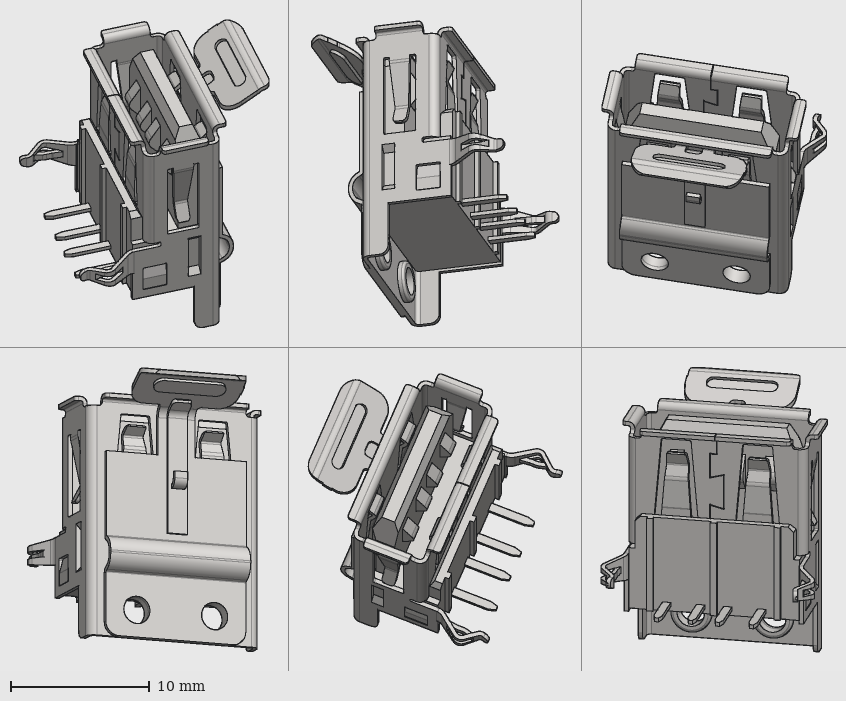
import cadquery as cq
import math


OVERLAP = 0.05

T = 0.32
MOUTH_X, MOUTH_Y = 12.56, 5.1
OUT_X = MOUTH_X / 2 + T
OUT_Y = MOUTH_Y / 2 + T
CORNER_R = 0.63
FRONT_WALL_Z = 8.8
CORNER_TOP_Z = 16.9
LIP_Z = 17.7
LIP_REACH_Y, LIP_REACH_X = 0.75, 0.6
LIP_R = 0.25
LIP_BEND = 0.35
LIP_HALF_X = 5.55
LIP_HALF_Y = 1.75
NOTCH_R = 0.25
SIDE_FRONT_Y = -3.87
SIDE_BOTTOM_Z = 3.97
RELIEF_Z = 8.4
RELIEF_Y = -1.9
WING_FRONT_Y = 0.84
WING_R = 0.66

SEAM_GAP = 0.05
SEAM_POINTS = [(0, 16.1), (-0.5, 16.1), (-0.5, 14.28), (0.5, 14.55), (0.5, 11.95), (-0.5, 12.2)]

HOLE_X, HOLE_Z = 3.0, 2.0
HOLE_D = 2.0
COLLAR_D = 3.0
COLLAR_H = 0.5
COLLAR_ROUND = 0.2

FINGER_X = 3.0
WINDOW_BOTTOM_Z = 10.9
WINDOW_HALF_BOTTOM = 1.63
WINDOW_HALF_TOP = 1.1
FRONT_WINDOW_TOP_Z = 17.0
REAR_WINDOW_TOP_Z = 16.4
WINDOW_R = 0.15
FINGER_HALF_ROOT = 1.13
FINGER_HALF_TIP = 0.72
FINGER_KNEE_Z = 11.75
FINGER_BEND_Z = 13.95
FINGER_CREST_Z = 14.95
FINGER_BEND_RADII = [1.0, 0.6, 0.3]
FINGER_TIP_R = 0.2
FRONT_TIP_Z, REAR_TIP_Z = 15.95, 15.6
FINGER_LEAN = 0.08
FINGER_SINK = 0.53
FRONT_TIP_OUT = 0.0
REAR_TIP_OUT = 0.35

SIDE_WINDOW = (-1.22, 1.17, 9.4, 15.4)
SLOT_WINDOW = (0.36, 1.3, 5.04, 8.6)
SLOT_DEPTH = 0.45
SLOT_SLOPE = 0.5
OPENING_R = 0.1
LATCH_WINDOW = (-3.07, -1.27, 4.7, 6.7)
LATCH_RAMP_Z = 5.64
LATCH_OUT = OUT_X - OVERLAP
SIDE_FINGER_ROOT_Z = 15.35
SIDE_FINGER_CREST_Z = 11.6
SIDE_FINGER_TIP_Z = 10.2
SIDE_FINGER_SINK = 0.65
SIDE_FINGER_HALF_ROOT, SIDE_FINGER_HALF_TIP = 0.8, 0.5
SIDE_FINGER_TIP_R = 0.4
SIDE_FINGER_TIP_OUT = 0.1
SIDE_FINGER_BEND_RADII = [1.0, 0.5]

BASE_Z = 4.18
FLOOR_Z = FRONT_WALL_Z
APRON_Y = -3.76
APRON_BACK_Y = -3.16
APRON_TOP_Z = 11.26
APRON_HALF = 5.85
APRON_CHAMFER = 0.4
APRON_SLOPE = 0.5
RIB_X = 4.69
RIB_WIDTH = 0.47
RIB_Y = -4.07
TONGUE_HALF = 5.53
TONGUE_Y0, TONGUE_Y1 = -0.07, 1.84
TONGUE_TOP_Z = 17.3
TONGUE_FRONT_BEVEL, TONGUE_REAR_BEVEL, TONGUE_SIDE_BEVEL = 0.8, 1.2, 2.1
TONGUE_TOP_HALF = 4.45
TONGUE_TOP_Y0, TONGUE_TOP_Y1 = 0.37, 1.37
TONGUE_CORNER = 0.45

CONTACT_X = (-3.5, -1.0, 1.0, 3.5)
CONTACT_WIDTH = 1.0
CONTACT_CREST = (-0.92, 13.85)
CONTACT_TOP_Z, CONTACT_BOTTOM_Z = 15.2, 12.6
CONTACT_UPPER_BEND = (-0.75, 14.25)
CONTACT_LOWER_BEND = (-0.7, 13.3)
PIN_WIDTH, PIN_TIP_WIDTH = 0.62, 0.3
PIN_Z0, PIN_Z1 = 4.54, 4.84
PIN_END_Y, PIN_TAPER = -7.18, 0.56

LEG_MID_Z = 7.4
LEG_HALF_ROOT, LEG_HALF_TIP = 1.0, 0.4
LEG_END_Y = -7.97
LEG_TIP_X = -6.9
LEG_BEND_Y = -4.1
LEG_ELBOW = (-7.83, -5.96)
LEG_KNEE = (-6.71, -7.28)
LEG_BEND_RADII = [1.0, 0.5, 0.4]
LEG_BOW_X = -6.9
LEG_BOW_START_X, LEG_BOW_END_X = -6.82, -7.13
LEG_BOW_R = 1.0
LEG_BOW_Y0, LEG_BOW_Y1 = -6.1, -5.5
LEG_SLOT_HALF = 0.25
LEG_SLOT = (-6.89, -4.78, LEG_MID_Z - LEG_SLOT_HALF, LEG_MID_Z + LEG_SLOT_HALF)

PLATE_HALF = 5.4
PLATE_Y = OUT_Y + T / 2
PLATE_R = 1.0
STEM_Y = 3.19
BULGE_Y = 4.02
BULGE_Z = (4.75, 5.2, 6.7, 7.15)
TILT_BEND_R = 1.0
PLATE_BEND_RADII = [0.2, 1.1, 1.1, 0.2, TILT_BEND_R, 0.5]
WIDE_TOP_Z = 13.5
NECK_HALF = 1.42
TILT_Z = 16.8
PEAK_Y = 6.77
TILT = math.radians(30)
CURL = math.radians(15)
TAB_END_Y = 7.62
TAB_HALF = 4.09
ABOVE_TAB = 20.0
BEHIND_PLATE = 5.0
TAB_INNER_Y = 3.97
TAB_R = 1.25
NECK_R = 0.28
NUB_REACH, NUB_Y0, NUB_Y1 = 0.07, 5.4, 6.1
BEAD_DEPTH = 0.25
BEAD_HALF = 0.75
BEAD_WALL = 0.15
BEAD_R = 0.35
BEAD_BEND_R = TILT_BEND_R - BEAD_DEPTH
DIMPLE_BOTTOM_Z = TILT_Z - 1.0
BEAD_BOTTOM_Z = 7.75
BEAD_END_Y = 4.65
DIMPLE_END_Y = 4.4
TAB_SLOT_Y = 5.8
TAB_SLOT_LENGTH, TAB_SLOT_WIDTH = 5.5, 1.25
TAB_SLOT_WALL = 0.12

HOOK_WIDTH = 1.0
HOOK_Y, HOOK_Z, HOOK_TOP_Z = 4.13, 11.2, 12.2
HOOK_BEND_R = 0.5


def block(x0, x1, y0, y1, z0, z1):
    return cq.Workplane("XY").box(x1 - x0, y1 - y0, z1 - z0, centered=False).translate((x0, y0, z0))


def both_sides(body):
    return body.union(body.mirror("YZ"))


def heading_of(start, end):
    """Unit vector from one point of a path to the next."""
    length = math.dist(start, end)
    return (end[0] - start[0]) / length, (end[1] - start[1]) / length


def bent_strip(plane, path, radii, width, thickness=T):
    """Sheet strip along a bent centre line, extruded evenly to both sides of the plane.

    radii holds one mid-plane bend radius for each inner point of the path."""

    def side(offset):
        """Start, end and line/arc moves of the path shifted sideways."""
        moves = []
        for i in range(len(path)):
            px, py = path[i]
            ux, uy = heading_of(path[max(i, 1) - 1], path[max(i, 1)])
            if i in (0, len(path) - 1):
                moves.append([(px - uy * offset, py + ux * offset)])
                continue
            vx, vy = heading_of(path[i], path[i + 1])
            turn = math.atan2(ux * vy - uy * vx, ux * vx + uy * vy)
            radius = math.copysign(radii[i - 1], turn)
            setback = abs(radius * math.tan(turn / 2))
            cx = px - ux * setback - uy * radius
            cy = py - uy * setback + ux * radius
            arc = []
            for part in (0, 0.5, 1):
                heading = math.atan2(uy, ux) + turn * part
                arc.append((cx + math.sin(heading) * (radius - offset),
                            cy - math.cos(heading) * (radius - offset)))
            moves.append(arc)
        return moves

    outline = cq.Workplane(plane).moveTo(*side(thickness / 2)[0][0])
    backward = [move[::-1] for move in side(-thickness / 2)[::-1]]
    for move in side(thickness / 2)[1:] + backward:
        outline = outline.lineTo(*move[0])
        if len(move) == 3:
            outline = outline.threePointArc(move[1], move[2])
    return outline.close().extrude(width / 2, both=True)


def lip(plane, outer_face, wall, reach, width):
    middle = wall - T / 2
    top = LIP_Z - T / 2
    path = [(middle, CORNER_TOP_Z), (middle, top), (wall + reach, top)]
    strip = bent_strip(plane, path, [LIP_BEND], width)
    return strip.faces(outer_face).edges("|Z").fillet(LIP_R)


def make_shell():
    outer = cq.Workplane("XY").rect(2 * OUT_X, 2 * OUT_Y).extrude(LIP_Z - T / 2 - LIP_BEND)
    outer = outer.edges("|Z").fillet(CORNER_R)
    inner = cq.Workplane("XY").rect(MOUTH_X, MOUTH_Y).extrude(LIP_Z)
    inner = inner.edges("|Z").fillet(CORNER_R - T)
    tube = outer.cut(inner)

    tube = tube.cut(block(-OUT_X, OUT_X, -OUT_Y, RELIEF_Y, 0, FRONT_WALL_Z))
    below = (cq.Workplane("YZ").moveTo(-OUT_Y, 0).lineTo(WING_FRONT_Y + WING_R, 0)
             .radiusArc((WING_FRONT_Y, WING_R), WING_R)
             .lineTo(WING_FRONT_Y, SIDE_BOTTOM_Z).lineTo(-OUT_Y, SIDE_BOTTOM_Z).close()
             .extrude(OUT_X, both=True))
    tube = tube.cut(below)
    cheek = block(-OUT_X, -OUT_X + T, SIDE_FRONT_Y, RELIEF_Y, SIDE_BOTTOM_Z, RELIEF_Z)
    slot_r = (FRONT_WALL_Z - RELIEF_Z) / 2
    slot_end = (cq.Workplane("YZ").center(RELIEF_Y, RELIEF_Z + slot_r).circle(slot_r)
                .extrude(OUT_X, both=True))
    tube = tube.union(both_sides(cheek)).cut(slot_end)

    notch = block(LIP_HALF_X, 2 * OUT_X, LIP_HALF_Y, 2 * OUT_Y, CORNER_TOP_Z, LIP_Z)
    notch = notch.edges("<Z and (<X or <Y)").fillet(NOTCH_R)
    for half in (notch, notch.mirror("XZ")):
        tube = tube.cut(both_sides(half))
    rear_lip = lip("YZ", ">Y", OUT_Y, LIP_REACH_Y, 2 * LIP_HALF_X)
    side_lip = lip("XZ", ">X", OUT_X, LIP_REACH_X, 2 * LIP_HALF_Y)
    return tube.union(rear_lip).union(rear_lip.mirror("XZ")).union(both_sides(side_lip))


def finger_windows(sign, top_z):
    """Cutters for the two tapered openings in the front (-1) or rear (+1) wall."""
    window = (cq.Workplane("XZ").moveTo(-WINDOW_HALF_BOTTOM, WINDOW_BOTTOM_Z)
              .lineTo(WINDOW_HALF_BOTTOM, WINDOW_BOTTOM_Z).lineTo(WINDOW_HALF_TOP, top_z)
              .lineTo(-WINDOW_HALF_TOP, top_z).close().extrude(T, both=True)
              .edges("|Y").fillet(WINDOW_R))
    return both_sides(window.translate((FINGER_X, sign * (OUT_Y - T / 2), 0)))


def fingers(sign, tip_out, tip_z):
    wall = OUT_Y - T / 2
    root_z = WINDOW_BOTTOM_Z - T
    path = [(sign * wall, root_z), (sign * wall, FINGER_KNEE_Z),
            (sign * (wall - FINGER_LEAN), FINGER_BEND_Z),
            (sign * (wall - FINGER_SINK), FINGER_CREST_Z), (sign * (wall + tip_out), tip_z)]
    strip = bent_strip("YZ", path, FINGER_BEND_RADII, 2 * FINGER_HALF_ROOT)
    taper = (cq.Workplane("XZ").moveTo(-FINGER_HALF_ROOT, root_z).lineTo(FINGER_HALF_ROOT, root_z)
             .lineTo(FINGER_HALF_TIP, tip_z).lineTo(-FINGER_HALF_TIP, tip_z)
             .close().extrude(2 * OUT_Y, both=True).edges("|Y and >Z").fillet(FINGER_TIP_R))
    return both_sides(strip.intersect(taper).translate((FINGER_X, 0, 0)))


def side_fingers():
    wall = OUT_X - T / 2
    path = [(-wall, SIDE_FINGER_ROOT_Z + T), (-wall, SIDE_FINGER_ROOT_Z - T),
            (-wall + SIDE_FINGER_SINK, SIDE_FINGER_CREST_Z), (-wall - SIDE_FINGER_TIP_OUT, SIDE_FINGER_TIP_Z)]
    strip = bent_strip("XZ", path, SIDE_FINGER_BEND_RADII, 2 * SIDE_FINGER_HALF_ROOT)
    taper = (cq.Workplane("YZ").moveTo(-SIDE_FINGER_HALF_ROOT, SIDE_FINGER_ROOT_Z + T)
             .lineTo(-SIDE_FINGER_HALF_TIP, SIDE_FINGER_CREST_Z)
             .lineTo(-SIDE_FINGER_HALF_TIP, SIDE_FINGER_TIP_Z)
             .lineTo(SIDE_FINGER_HALF_TIP, SIDE_FINGER_TIP_Z)
             .lineTo(SIDE_FINGER_HALF_TIP, SIDE_FINGER_CREST_Z)
             .lineTo(SIDE_FINGER_HALF_ROOT, SIDE_FINGER_ROOT_Z + T).close().extrude(2 * OUT_X, both=True)
             .edges("|X and <Z").fillet(SIDE_FINGER_TIP_R))
    return both_sides(strip.intersect(taper))


def side_opening(window, depth):
    y0, y1, z0, z1 = window
    cutter = block(-OUT_X - T, -OUT_X + depth, y0, y1, z0, z1)
    return both_sides(cutter.edges("|X").fillet(OPENING_R))


def side_slot():
    """Shallow side recess with sloped upper and lower ends."""
    y0, y1, z0, z1 = SLOT_WINDOW
    inner_x = OUT_X - SLOT_DEPTH
    cutter = (cq.Workplane("XZ").moveTo(OUT_X, z0).lineTo(OUT_X, z1)
              .lineTo(inner_x, z1 - SLOT_SLOPE).lineTo(inner_x, z0 + SLOT_SLOPE).close()
              .extrude(y1 - y0).translate((0, y1, 0)))
    return both_sides(cutter)


def seam():
    """Narrow dovetailed slit where the two ends of the shell sheet meet."""
    points = [(0, LIP_Z), *SEAM_POINTS, (SEAM_POINTS[-1][0], FRONT_WALL_Z)]
    slit = cq.Workplane("XY")
    for (x0, z0), (x1, z1) in zip(points, points[1:]):
        length = math.dist((x0, z0), (x1, z1)) + SEAM_GAP
        angle = math.degrees(math.atan2(z1 - z0, x1 - x0))
        piece = cq.Workplane("XZ").rect(length, SEAM_GAP).extrude(OUT_Y)
        piece = piece.rotate((0, 0, 0), (0, 1, 0), -angle)
        slit = slit.add(piece.translate(((x0 + x1) / 2, -MOUTH_Y / 2 + OVERLAP, (z0 + z1) / 2)))
    return slit.combine()


def rear_collars():
    collar = (cq.Workplane("XZ").circle(COLLAR_D / 2).extrude(COLLAR_H)
              .faces("<Y").edges().fillet(COLLAR_ROUND))
    return both_sides(collar.translate((HOLE_X, OUT_Y - T, HOLE_Z)))


def rear_holes():
    hole = cq.Workplane("XZ").circle(HOLE_D / 2).extrude(COLLAR_H + T, both=True)
    return both_sides(hole.translate((HOLE_X, OUT_Y, HOLE_Z)))


def make_housing():
    body = block(-MOUTH_X / 2, MOUTH_X / 2, APRON_Y, MOUTH_Y / 2, BASE_Z, FLOOR_Z)
    apron = (cq.Workplane("YZ").moveTo(APRON_Y, FLOOR_Z).lineTo(-OUT_Y, FLOOR_Z)
             .lineTo(-OUT_Y, APRON_TOP_Z - APRON_SLOPE).lineTo(APRON_BACK_Y, APRON_TOP_Z)
             .lineTo(APRON_Y, APRON_TOP_Z).close().extrude(APRON_HALF, both=True)
             .edges("|Y and >Z").chamfer(APRON_CHAMFER))
    body = body.union(apron)
    for x in (-RIB_X, 0, RIB_X):
        body = body.union(block(x - RIB_WIDTH / 2, x + RIB_WIDTH / 2, RIB_Y, APRON_Y,
                                BASE_Z, APRON_TOP_Z))

    y0, y1, z0, z1 = LATCH_WINDOW
    latch = (cq.Workplane("XZ").moveTo(MOUTH_X / 2, z0).lineTo(LATCH_OUT, z0)
             .lineTo(LATCH_OUT, LATCH_RAMP_Z).lineTo(MOUTH_X / 2, z1).close()
             .extrude(y1 - y0).translate((0, y1, 0)))
    return body.union(both_sides(latch)).union(make_tongue())


def make_tongue():
    bar = block(-TONGUE_HALF, TONGUE_HALF, TONGUE_Y0, TONGUE_Y1, FLOOR_Z, TONGUE_TOP_Z)
    bar = bar.edges("|Z and >Y").chamfer(TONGUE_CORNER)
    side_bevels = (cq.Workplane("XZ").moveTo(-TONGUE_HALF, FLOOR_Z)
                   .lineTo(-TONGUE_HALF, TONGUE_TOP_Z - TONGUE_SIDE_BEVEL)
                   .lineTo(-TONGUE_TOP_HALF, TONGUE_TOP_Z).lineTo(TONGUE_TOP_HALF, TONGUE_TOP_Z)
                   .lineTo(TONGUE_HALF, TONGUE_TOP_Z - TONGUE_SIDE_BEVEL)
                   .lineTo(TONGUE_HALF, FLOOR_Z).close().extrude(MOUTH_Y, both=True))
    face_bevels = (cq.Workplane("YZ").moveTo(TONGUE_Y0, FLOOR_Z)
                   .lineTo(TONGUE_Y0, TONGUE_TOP_Z - TONGUE_FRONT_BEVEL)
                   .lineTo(TONGUE_TOP_Y0, TONGUE_TOP_Z).lineTo(TONGUE_TOP_Y1, TONGUE_TOP_Z)
                   .lineTo(TONGUE_Y1, TONGUE_TOP_Z - TONGUE_REAR_BEVEL)
                   .lineTo(TONGUE_Y1, FLOOR_Z).close().extrude(MOUTH_X, both=True))
    return bar.intersect(side_bevels).intersect(face_bevels)


def make_contact(x):
    bump = (cq.Workplane("YZ").moveTo(TONGUE_Y0, CONTACT_TOP_Z).lineTo(*CONTACT_UPPER_BEND)
            .threePointArc(CONTACT_CREST, CONTACT_LOWER_BEND)
            .lineTo(TONGUE_Y0, CONTACT_BOTTOM_Z).close().extrude(CONTACT_WIDTH / 2, both=True))
    half, half_tip = PIN_WIDTH / 2, PIN_TIP_WIDTH / 2
    pin = (cq.Workplane("XY").moveTo(-half, APRON_Y).lineTo(-half, PIN_END_Y + PIN_TAPER)
           .lineTo(-half_tip, PIN_END_Y).lineTo(half_tip, PIN_END_Y)
           .lineTo(half, PIN_END_Y + PIN_TAPER).lineTo(half, APRON_Y).close()
           .extrude(PIN_Z1 - PIN_Z0).translate((0, 0, PIN_Z0)))
    return bump.union(pin).translate((x, 0, 0))


def make_legs():
    wall = OUT_X - T / 2
    path = [(-wall, SIDE_FRONT_Y + T), (-wall, LEG_BEND_Y), LEG_ELBOW, LEG_KNEE, (LEG_TIP_X, LEG_END_Y)]
    leg = bent_strip("XY", path, LEG_BEND_RADII, 2 * LEG_HALF_ROOT)
    taper = (cq.Workplane("YZ").moveTo(SIDE_FRONT_Y + T, -LEG_HALF_ROOT)
             .lineTo(SIDE_FRONT_Y, -LEG_HALF_ROOT)
             .lineTo(LEG_END_Y + LEG_HALF_TIP, -LEG_HALF_TIP)
             .threePointArc((LEG_END_Y, 0), (LEG_END_Y + LEG_HALF_TIP, LEG_HALF_TIP))
             .lineTo(SIDE_FRONT_Y, LEG_HALF_ROOT).lineTo(SIDE_FRONT_Y + T, LEG_HALF_ROOT)
             .close().extrude(2 * OUT_X, both=True))
    leg = leg.intersect(taper).translate((0, 0, LEG_MID_Z))
    y0, y1, z0, z1 = LEG_SLOT
    leg = leg.cut(block(-2 * OUT_X, 0, y0, y1, z0, z1))
    bow = [(LEG_BOW_START_X, y1 + OVERLAP), (LEG_BOW_X, LEG_BOW_Y1), (LEG_BOW_X, LEG_BOW_Y0),
           (LEG_BOW_END_X, y0 - OVERLAP)]
    strip = bent_strip("XY", bow, [LEG_BOW_R, LEG_BOW_R], z1 - z0).translate((0, 0, LEG_MID_Z))
    return both_sides(leg.union(strip))


def plate_path():
    peak_z = TILT_Z + (PEAK_Y - STEM_Y) * math.tan(TILT)
    end_z = peak_z - (TAB_END_Y - PEAK_Y) * math.tan(CURL)
    z0, z1, z2, z3 = BULGE_Z
    return [(PLATE_Y, 0), (PLATE_Y, z0), (BULGE_Y, z1), (BULGE_Y, z2), (STEM_Y, z3),
            (STEM_Y, TILT_Z), (PEAK_Y, peak_z), (TAB_END_Y, end_z)]


def tilted_plane():
    """Frame on the tab mid-plane: local X along X, normal pointing up out of the tab."""
    z = TILT_Z + (TAB_SLOT_Y - STEM_Y) * math.tan(TILT)
    return cq.Plane(origin=(0, TAB_SLOT_Y, z), xDir=(1, 0, 0),
                    normal=(0, -math.sin(TILT), math.cos(TILT)))


def rounded_end(half, end_y):
    """Upright block whose far end has rounded corners, for trimming the bead."""
    return block(-half, half, OUT_Y, end_y, 0, ABOVE_TAB).edges("|Z and >Y").fillet(BEAD_R)


def make_spring_plate():
    sheet = bent_strip("YZ", plate_path(), PLATE_BEND_RADII, 2 * PLATE_HALF)

    wide = block(-PLATE_HALF, PLATE_HALF, OUT_Y, BEHIND_PLATE, 0, WIDE_TOP_Z)
    wide = wide.edges("|Y and <Z").fillet(PLATE_R)
    tab_reach = TAB_END_Y + T / 2 * math.sin(CURL)
    tab = block(-TAB_HALF, TAB_HALF, TAB_INNER_Y, tab_reach, WIDE_TOP_Z, ABOVE_TAB)
    tab = tab.edges("|Z").fillet(TAB_R)
    nub = block(-TAB_HALF - NUB_REACH, 0, NUB_Y0, NUB_Y1, WIDE_TOP_Z, ABOVE_TAB)
    neck = block(-NECK_HALF, NECK_HALF, OUT_Y, TAB_INNER_Y + TAB_R, WIDE_TOP_Z, ABOVE_TAB)
    tab = tab.union(neck)
    for x in (-NECK_HALF, NECK_HALF):
        tab = tab.edges(cq.selectors.NearestToPointSelector((x, TAB_INNER_Y, LIP_Z))).fillet(NECK_R)
    plate = sheet.intersect(wide.union(tab).union(nub))

    y_out = STEM_Y + BEAD_DEPTH
    z_shift = BEAD_DEPTH * (math.tan(TILT) - 1 / math.cos(TILT))
    bead_end_z = TILT_Z + z_shift + (BEAD_END_Y - y_out) * math.tan(TILT)
    bead_path = [(y_out, BEAD_BOTTOM_Z), (y_out, TILT_Z + z_shift), (BEAD_END_Y, bead_end_z)]
    bead = bent_strip("YZ", bead_path, [BEAD_BEND_R], 2 * BEAD_HALF)
    bead = bead.intersect(rounded_end(BEAD_HALF, BEAD_END_Y))
    dimple_end_z = TILT_Z + (BEAD_END_Y - STEM_Y) * math.tan(TILT)
    dimple_path = [(STEM_Y, DIMPLE_BOTTOM_Z), (STEM_Y, TILT_Z), (BEAD_END_Y, dimple_end_z)]
    dimple_half = BEAD_HALF - BEAD_WALL
    dimple = bent_strip("YZ", dimple_path, [TILT_BEND_R], 2 * dimple_half, T + OVERLAP)
    dimple = dimple.intersect(rounded_end(dimple_half, DIMPLE_END_Y))
    plate = plate.cut(dimple).union(bead)

    emboss = (cq.Workplane(tilted_plane()).workplane(offset=-T / 2 - BEAD_DEPTH)
              .slot2D(TAB_SLOT_LENGTH, TAB_SLOT_WIDTH).extrude(T))
    hollow = (cq.Workplane(tilted_plane()).workplane(offset=T / 2 - BEAD_DEPTH)
              .slot2D(TAB_SLOT_LENGTH - 2 * TAB_SLOT_WALL, TAB_SLOT_WIDTH - 2 * TAB_SLOT_WALL).extrude(T))
    return plate.union(emboss).cut(hollow)


def make_hook():
    """J-shaped hook from the rear wall, reaching out through the spring plate and up."""
    path = [(OUT_Y - T / 2, HOOK_Z), (HOOK_Y, HOOK_Z), (HOOK_Y, HOOK_TOP_Z)]
    return bent_strip("YZ", path, [HOOK_BEND_R], HOOK_WIDTH)


shell = make_shell()
shell = shell.cut(finger_windows(-1, FRONT_WINDOW_TOP_Z)).cut(finger_windows(1, REAR_WINDOW_TOP_Z))
shell = shell.cut(side_opening(SIDE_WINDOW, 2 * T)).cut(seam())
shell = shell.cut(side_opening(LATCH_WINDOW, T))
shell = shell.union(fingers(-1, FRONT_TIP_OUT, FRONT_TIP_Z))
shell = shell.union(fingers(1, REAR_TIP_OUT, REAR_TIP_Z)).union(side_fingers())

result = shell.union(make_housing()).cut(side_slot())
for contact_x in CONTACT_X:
    result = result.union(make_contact(contact_x))
result = result.union(make_legs()).union(make_spring_plate()).union(make_hook())
result = result.union(rear_collars()).cut(rear_holes())